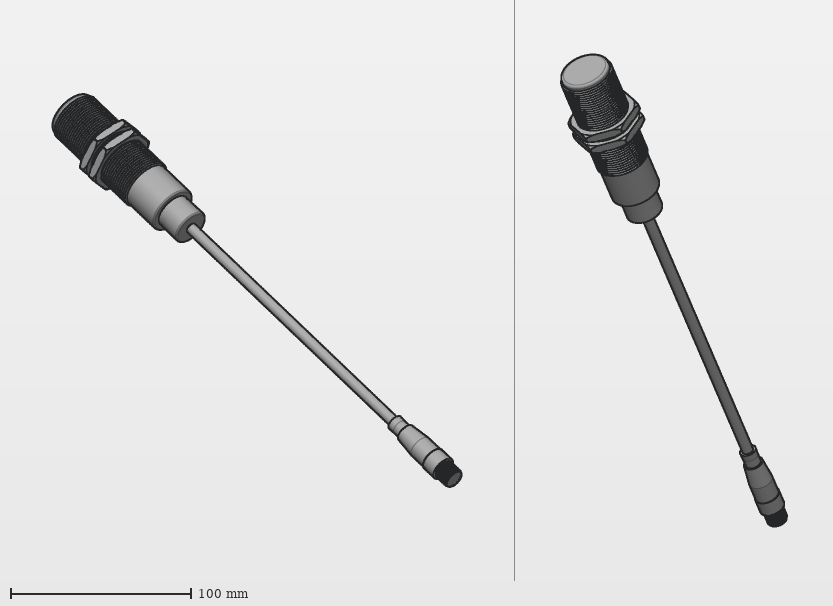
import cadquery as cq
import math

total_length = 334.5

barrel_diameter = 28.0
face_diameter = 24.8
face_edge_round = (barrel_diameter - face_diameter) / 2
barrel_end = 89.3
barrel_edge_round = 1.0
neck_start_diameter = 20.7
neck_end_diameter = 21.0
neck_end = 105.0
neck_edge_round = 1.0

barrel_thread_diameter = 30.0
barrel_thread_start = 3.5
barrel_thread_end = 66.2
barrel_thread_rings = 41

cable_diameter = 6.5
cable_end = 282.5

collar_diameter = 9.5
collar_end = 286.5
sleeve_diameter = 9.0
sleeve_end = 292.0
grip_start_diameter = 11.0
grip_diameter = 13.7
grip_taper_end = 304.7
grip_end = 315.7
coupling_diameter = 14.5
coupling_end = 324.8
plug_thread_diameter = 11.7
plug_thread_root = 10.7
plug_thread_end = 333.8
plug_thread_rings = 9

edge_tolerance = 0.17

across_flats = 35.8
across_corners = across_flats / math.cos(math.radians(30))
nut_corner_diameter = 41.0
nut_face_diameter = 37.5
nut_chamfer_angle = 30.0
nut_thickness = 5.0
nut_starts = (31.8, 39.8)


def thread_points(start, end, crest_radius, root_radius, ring_count):
    """Zigzag (x, radius) profile of evenly spaced thread rings between start and end."""
    pitch = (end - start) / ring_count
    points = []
    for ring in range(ring_count):
        ring_start = start + ring * pitch
        points.append((ring_start, root_radius))
        points.append((ring_start + pitch / 2, crest_radius))
    points.append((end, root_radius))
    return points


def revolve_about_x(points):
    return cq.Workplane("XY").polyline(points).close().revolve(360, (0, 0, 0), (1, 0, 0))


def plug_points():
    """(x, radius) profile from the end of the cable to the tip of the plug."""
    points = [
        (cable_end, cable_diameter / 2),
        (cable_end, collar_diameter / 2),
        (collar_end, sleeve_diameter / 2),
        (sleeve_end, sleeve_diameter / 2),
        (sleeve_end, grip_start_diameter / 2),
        (grip_taper_end, grip_diameter / 2),
        (grip_end, grip_diameter / 2),
        (grip_end, coupling_diameter / 2),
        (coupling_end, coupling_diameter / 2),
    ]
    points += thread_points(
        coupling_end, plug_thread_end, plug_thread_diameter / 2, plug_thread_root / 2, plug_thread_rings
    )
    points += [(total_length, plug_thread_root / 2), (total_length, 0)]
    return points


def round_outer_edge(body, position, radius):
    """Round the largest circular edge that lies in the plane X = position."""
    around_axis = cq.selectors.BoxSelector(
        (position - edge_tolerance, -edge_tolerance, -edge_tolerance),
        (position + edge_tolerance, edge_tolerance, edge_tolerance),
    )
    circles = body.edges("%CIRCLE").edges(around_axis)
    return circles.edges(cq.selectors.RadiusNthSelector(-1)).fillet(radius)


def make_sensor():
    barrel_radius = barrel_diameter / 2
    profile = [(0, 0), (0, barrel_radius)]
    profile += thread_points(
        barrel_thread_start, barrel_thread_end, barrel_thread_diameter / 2, barrel_radius, barrel_thread_rings
    )
    profile += [
        (barrel_end, barrel_radius),
        (barrel_end, neck_start_diameter / 2),
        (neck_end, neck_end_diameter / 2),
        (neck_end, cable_diameter / 2),
    ]
    profile += plug_points()
    body = revolve_about_x(profile)
    body = round_outer_edge(body, 0, face_edge_round)
    body = round_outer_edge(body, barrel_end, barrel_edge_round)
    return round_outer_edge(body, neck_end, neck_edge_round)


def make_nut(start):
    end = start + nut_thickness
    corner_radius = nut_corner_diameter / 2
    face_radius = nut_face_diameter / 2
    chamfer_length = (corner_radius - face_radius) * math.tan(math.radians(nut_chamfer_angle))
    bore_radius = barrel_thread_diameter / 2
    ring = revolve_about_x([
        (start, bore_radius),
        (start, face_radius),
        (start + chamfer_length, corner_radius),
        (end - chamfer_length, corner_radius),
        (end, face_radius),
        (end, bore_radius),
    ])
    hexagon = (
        cq.Workplane("YZ", origin=(start, 0, 0))
        .polygon(6, across_corners)
        .extrude(nut_thickness)
    )
    return ring.intersect(hexagon)


sensor = make_sensor()
nuts = [make_nut(start) for start in nut_starts]
result = cq.Compound.makeCompound([sensor.val(), *[nut.val() for nut in nuts]])